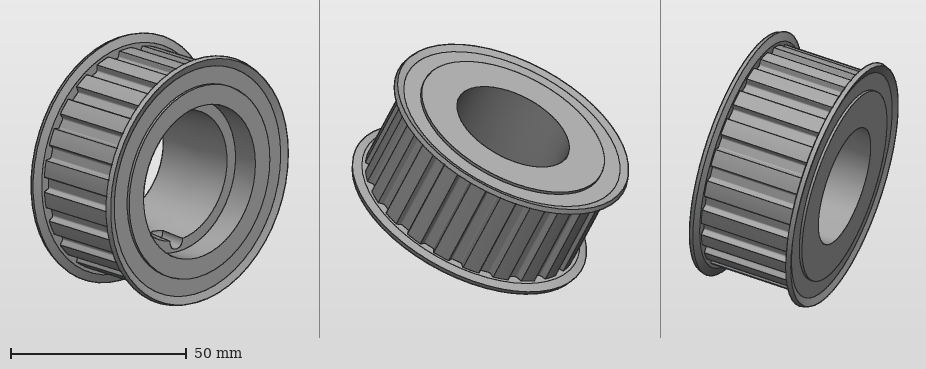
import cadquery as cq
import math

total_width = 31.9
flange_radius = 36.5

tooth_count = 22
tooth_tip_radius = 32.95
toothed_width = 27.3
groove_depth = 1.8
groove_bottom_width = 3.1
flank_angle = 20.0
groove_fillet = 0.55

flange_thickness = 1.45
bend_angle = 20.0

hub_radius = 28.5
bore_radius = 17.5
bore_half_angle = 4.0
bore_length = 23.95
recess_radius = 22.65

screw_radius = 2.55
screw_length = 8.0
screw_axis_y = -1.3
drill_point_angle = 118.0

flange_inner_x = toothed_width / 2
flange_flat_x = flange_inner_x + flange_thickness
rim_x = total_width / 2
bore_end_x = bore_length - rim_x
bore_large_radius = bore_radius + bore_length * math.tan(math.radians(bore_half_angle))


def revolve_about_x(points):
    """Turn a closed (x, radius) outline about the X axis."""
    return cq.Workplane("XY").polyline(points).close().revolve(360, (0, 0, 0), (1, 0, 0))


def cylinder_x(radius, half_length):
    """Cylinder on the X axis, centred on the origin."""
    return cq.Workplane("YZ").circle(radius).extrude(half_length, both=True)


def make_groove():
    """Filleted trapezoidal cutter for the tooth gap on the -Y side."""
    flare = math.tan(math.radians(flank_angle))
    bottom_half = groove_bottom_width / 2
    top_half = bottom_half + groove_depth * flare
    bottom_y = groove_depth - tooth_tip_radius
    top_y = -tooth_tip_radius
    outer_y = -flange_radius
    outer_half = top_half + groove_fillet * 2
    cutter = (
        cq.Workplane("YZ", origin=(-flange_inner_x, 0, 0))
        .polyline([
            (outer_y, -outer_half),
            (top_y, -outer_half),
            (top_y, -top_half),
            (bottom_y, -bottom_half),
            (bottom_y, bottom_half),
            (top_y, top_half),
            (top_y, outer_half),
            (outer_y, outer_half),
        ])
        .close()
        .extrude(toothed_width)
    )
    corner_box = cq.selectors.BoxSelector(
        (-rim_x, top_y - groove_fillet, -top_half - groove_fillet),
        (rim_x, bottom_y + groove_fillet, top_half + groove_fillet),
    )
    corners = cutter.edges("|X").edges(corner_box)
    return cutter.newObject(corners.vals()).fillet(groove_fillet)


def make_toothed_rim():
    """Plain disc with the tooth gaps cut evenly around it."""
    rim = cylinder_x(tooth_tip_radius, flange_inner_x)
    groove = make_groove()
    for index in range(tooth_count):
        rim = rim.cut(groove.rotate((0, 0, 0), (1, 0, 0), index * 360 / tooth_count))
    return rim


def make_flange():
    """Flange on the +X side."""
    bend = math.radians(bend_angle)
    rim_inner_x = rim_x - flange_thickness * math.cos(bend)
    rim_outer_radius = flange_radius - flange_thickness * math.sin(bend)
    inner_bend_radius = flange_radius - (rim_inner_x - flange_inner_x) / math.tan(bend)
    outer_bend_radius = rim_outer_radius - (rim_x - flange_flat_x) / math.tan(bend)
    return revolve_about_x([
        (flange_inner_x, 0),
        (flange_inner_x, inner_bend_radius),
        (rim_inner_x, flange_radius),
        (rim_x, rim_outer_radius),
        (flange_flat_x, outer_bend_radius),
        (flange_flat_x, 0),
    ])


def make_bore():
    """Tapered bore followed by the recess on the +X side."""
    return revolve_about_x([
        (-rim_x, 0),
        (-rim_x, bore_radius),
        (bore_end_x, bore_large_radius),
        (bore_end_x, recess_radius),
        (rim_x, recess_radius),
        (rim_x, 0),
    ])


def make_screw_hole():
    """Pointed hole whose axis runs along X at the radius of the bore's large end."""
    shoulder_x = bore_end_x - screw_length
    point_x = shoulder_x - screw_radius / math.tan(math.radians(drill_point_angle / 2))
    axis_z = -math.sqrt(bore_large_radius ** 2 - screw_axis_y ** 2)
    hole = revolve_about_x([
        (point_x, 0),
        (shoulder_x, screw_radius),
        (bore_end_x, screw_radius),
        (bore_end_x, 0),
    ])
    return hole.translate((0, screw_axis_y, axis_z))


flange = make_flange()
hub = cylinder_x(hub_radius, rim_x)
result = (
    make_toothed_rim()
    .union(flange)
    .union(flange.mirror("YZ"))
    .union(hub)
    .cut(make_bore())
    .cut(make_screw_hole())
)